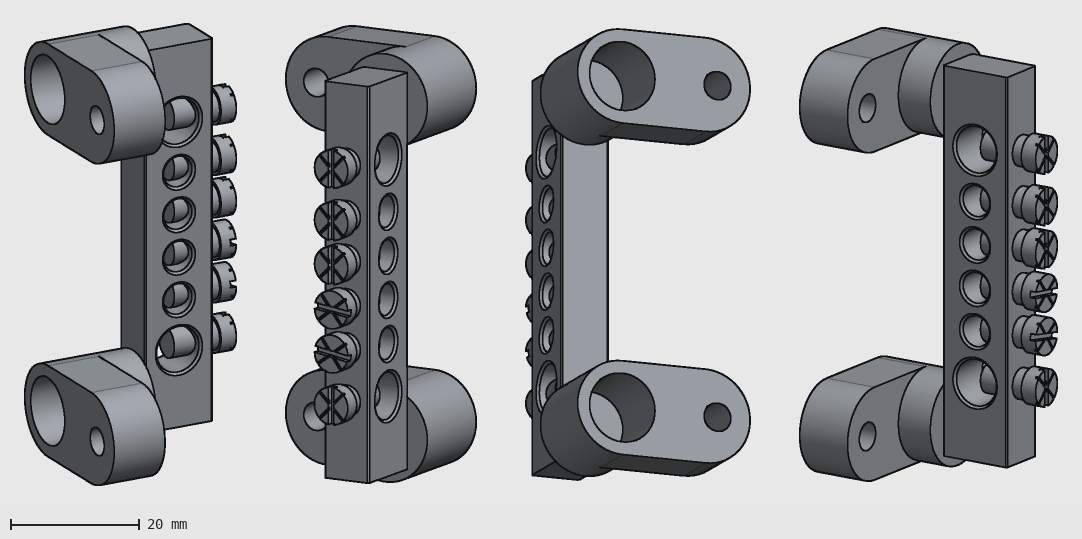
import cadquery as cq


foot_diameter = 15.0
foot_height = 15.0
foot_spacing = 53.0
flange_thickness = 9.0
flange_end_x = 14.0
mount_hole_x = 16.0
mount_hole_diameter = 4.5
foot_bore_diameter = 11.0
foot_wall = (foot_diameter - foot_bore_diameter) / 2
foot_bore_depth = foot_height - foot_wall

bar_width = 8.0
bar_depth = 12.0
bar_length = 63.0
bar_edge_chamfer = 0.25
bar_mid_y = foot_height + bar_depth / 2
bar_top_y = foot_height + bar_depth

small_hole_diameter = 5.0
large_hole_diameter = 7.5
wire_hole_chamfer = 0.4
small_hole_pitch = 7.0
small_hole_count = 4
first_small_hole = -(small_hole_count - 1) * small_hole_pitch / 2
small_hole_positions = [first_small_hole + i * small_hole_pitch for i in range(small_hole_count)]
large_hole_offset = 18.8
large_hole_positions = [-large_hole_offset, large_hole_offset]

shank_diameter = 5.0
head_diameter = 6.0
head_height = 2.7
head_gap = 2.0
head_bottom_y = bar_top_y + head_gap
head_top_y = head_bottom_y + head_height
slot_width = 1.0
slot_depth = 1.0
mark_width = 0.25
mark_depth = 0.5
mark_angles = [45.0, -45.0]
screw_settings = [
    (large_hole_positions[1], 0.0),
    (small_hole_positions[3], 0.0),
    (small_hole_positions[2], 0.0),
    (small_hole_positions[1], 83.0),
    (small_hole_positions[0], 81.0),
    (large_hole_positions[0], 0.0),
]


def cylinder_y(diameter, x, z, y_start, y_end):
    """Cylinder parallel to Y between two Y positions."""
    base = cq.Workplane("XZ", origin=(x, y_start, z))
    return base.circle(diameter / 2).extrude(y_start - y_end)


def make_foot(z):
    """Round standoff with a side flange, a blind bore from below and a mounting hole."""
    post = cylinder_y(foot_diameter, 0, z, 0, foot_height)
    flange_end = cylinder_y(foot_diameter, flange_end_x, z, 0, flange_thickness)
    flange_web = cq.Workplane("XY", origin=(0, 0, z)).box(
        flange_end_x, flange_thickness, foot_diameter, centered=(False, False, True)
    )
    bore = cylinder_y(foot_bore_diameter, 0, z, 0, foot_bore_depth)
    mount_hole = cylinder_y(mount_hole_diameter, mount_hole_x, z, 0, flange_thickness)
    return post.union(flange_web).union(flange_end).cut(bore).cut(mount_hole)


def make_wire_hole(diameter, z):
    """Cutter for one wire hole along X, chamfered at both faces of the bar."""
    half_width = bar_width / 2
    radius = diameter / 2
    rim_radius = radius + wire_hole_chamfer
    profile = [
        (-half_width, 0),
        (-half_width, rim_radius),
        (-half_width + wire_hole_chamfer, radius),
        (half_width - wire_hole_chamfer, radius),
        (half_width, rim_radius),
        (half_width, 0),
    ]
    cutter = cq.Workplane("XY").polyline(profile).close().revolve(360, (0, 0, 0), (1, 0, 0))
    return cutter.translate((0, bar_mid_y, z))


def make_bar():
    """Rectangular bar with wire holes and a screw hole reaching each wire hole's axis."""
    bar = cq.Workplane("XY").box(bar_width, bar_depth, bar_length).edges("|Z").chamfer(bar_edge_chamfer)
    bar = bar.translate((0, bar_mid_y, 0))
    for z in small_hole_positions:
        bar = bar.cut(make_wire_hole(small_hole_diameter, z))
    for z in large_hole_positions:
        bar = bar.cut(make_wire_hole(large_hole_diameter, z))
    for z in small_hole_positions + large_hole_positions:
        bar = bar.cut(cylinder_y(shank_diameter, 0, z, bar_mid_y, bar_top_y))
    return bar


def make_head_groove(width, depth, angle):
    """Cutter for a groove across the head's top face; at angle zero it lies along Z."""
    groove = cq.Workplane("XY").box(width, depth, head_diameter)
    groove = groove.rotate((0, 0, 0), (0, 1, 0), angle)
    return groove.translate((0, head_top_y - depth / 2, 0))


def make_screw(z, turn):
    """Screw with a slotted head and two shallower diagonal grooves across the slot."""
    shank = cylinder_y(shank_diameter, 0, 0, bar_mid_y, head_bottom_y)
    head = cylinder_y(head_diameter, 0, 0, head_bottom_y, head_top_y)
    screw = shank.union(head).cut(make_head_groove(slot_width, slot_depth, 0))
    for angle in mark_angles:
        screw = screw.cut(make_head_groove(mark_width, mark_depth, angle))
    return screw.rotate((0, 0, 0), (0, 1, 0), turn).translate((0, 0, z))


bar = make_bar()
feet = [make_foot(side * foot_spacing / 2) for side in (-1, 1)]
screws = [make_screw(z, turn) for z, turn in screw_settings]

result = cq.Compound.makeCompound(
    [bar.val()] + [foot.val() for foot in feet] + [screw.val() for screw in screws]
)